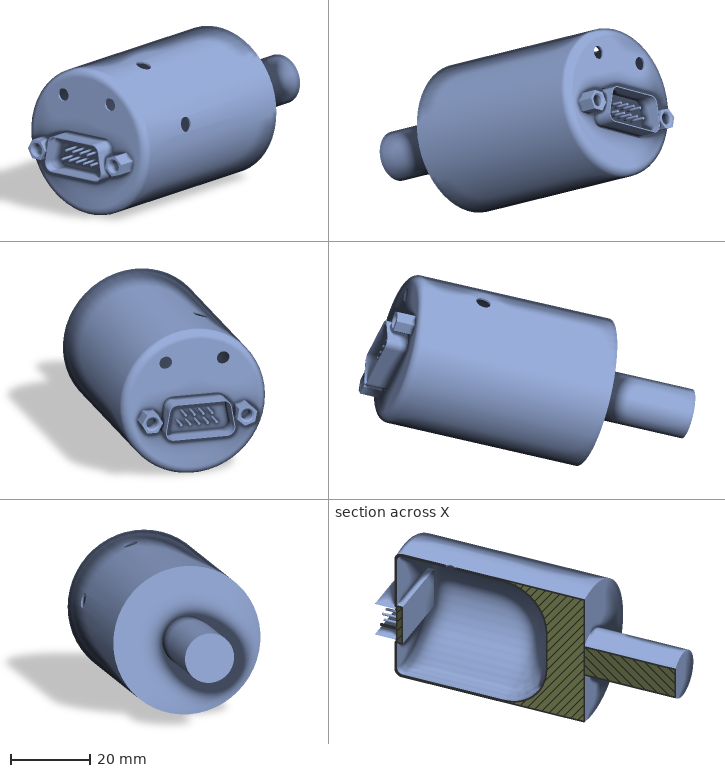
import cadquery as cq
import math


OVERALL_LENGTH = 83.0

HOUSING_DIAMETER = 38.1
HOUSING_LENGTH = 52.45
WALL = 0.5
FRONT_EDGE_RADIUS = 2.1
CAVITY_DIAMETER = HOUSING_DIAMETER - 2 * WALL
CAVITY_FRONT_RADIUS = FRONT_EDGE_RADIUS - WALL
CAVITY_LENGTH = 41.5
CAVITY_END_RADIUS = 12.0

WINDOW_DIAMETER = 3.3
WINDOW_X = 7.55
WINDOW_Z = 11.3

SIDE_HOLE_DIAMETER = 3.8
SIDE_HOLES = [(71.5, 15.35), (13.5, 16.9)]

POST_DIAMETER = 12.7
POST_LENGTH = 25.15

CONNECTOR_Z = -3.0
SHELL_PROJECTION = OVERALL_LENGTH - HOUSING_LENGTH - POST_LENGTH
SHELL_HEIGHT = 9.5
SHELL_MEAN_WIDTH = 17.4
SHELL_CORNER_RADIUS = 2.15
SHELL_THICKNESS = 0.25
SIDE_TAPER = 10.0

OPENING_END_GAP = 0.5
OPENING_SIDE_GAP = 0.1
OPENING_CORNER_RADIUS = 2.5

FLANGE_WIDTH = 29.05
FLANGE_HEIGHT = 11.1
FLANGE_THICKNESS = 1.7

PIN_DIAMETER = 0.7
PIN_PITCH = 2.3
PIN_ROW_SPACING = 2.5
PIN_TIP_Y = -4.0
PIN_ROWS = [(4, PIN_ROW_SPACING / 2), (5, -PIN_ROW_SPACING / 2)]

JACK_SPACING = 24.9
HEXAGON_SIDES = 6
JACK_ACROSS_FLATS = 4.8
JACK_PROJECTION = 4.7
JACK_SHANK_DIAMETER = 4.0
JACK_BORE_DIAMETER = 2.8
JACK_BORE_DEPTH = 3.7
JACK_BORE_CHAMFER = 0.4
DRILL_POINT_ANGLE = 118.0
JACKS = [(-1, 0.0), (1, 18.0)]


def section_at(y):
    """Workplane across the Y axis at y: local x is X, local y is Z, extruding goes toward -Y."""
    return cq.Workplane("XZ", origin=(0, y, 0))


def rod(diameter, y_front, y_back, x=0.0, z=0.0):
    """Round rod along Y between two Y positions."""
    return section_at(y_back).center(x, z).circle(diameter / 2).extrude(y_back - y_front)


def d_prism(mean_width, height, corner_radius, y_front, y_back):
    """Prism along Y with the rounded D outline of the connector, wider at the bottom."""
    lean = height / 2 * math.tan(math.radians(SIDE_TAPER))
    half_top = mean_width / 2 - lean
    half_bottom = mean_width / 2 + lean
    outline = [
        (-half_bottom, -height / 2),
        (half_bottom, -height / 2),
        (half_top, height / 2),
        (-half_top, height / 2),
    ]
    prism = section_at(y_back).center(0, CONNECTOR_Z).polyline(outline).close().extrude(y_back - y_front)
    return prism.edges("|Y").fillet(corner_radius)


def make_housing():
    """Hollow can with windows, side holes, and openings for the connector shell and jack posts."""
    body = rod(HOUSING_DIAMETER, 0, HOUSING_LENGTH).faces("<Y").edges().fillet(FRONT_EDGE_RADIUS)

    cavity = rod(CAVITY_DIAMETER, WALL, WALL + CAVITY_LENGTH)
    cavity = cavity.faces(">Y").edges().fillet(CAVITY_END_RADIUS)
    cavity = cavity.faces("<Y").edges().fillet(CAVITY_FRONT_RADIUS)
    body = body.cut(cavity)

    for x in (-WINDOW_X, WINDOW_X):
        body = body.cut(rod(WINDOW_DIAMETER, 0, WALL, x, WINDOW_Z))

    for angle, y in SIDE_HOLES:
        outward = (math.cos(math.radians(angle)), 0, math.sin(math.radians(angle)))
        axis = cq.Workplane(cq.Plane(origin=(0, y, 0), xDir=(0, 1, 0), normal=outward))
        body = body.cut(axis.circle(SIDE_HOLE_DIAMETER / 2).extrude(HOUSING_DIAMETER / 2))

    opening = d_prism(
        SHELL_MEAN_WIDTH + 2 * OPENING_SIDE_GAP,
        SHELL_HEIGHT + 2 * OPENING_END_GAP,
        OPENING_CORNER_RADIUS,
        0,
        WALL,
    )
    body = body.cut(opening)

    for side, _ in JACKS:
        body = body.cut(rod(JACK_SHANK_DIAMETER, 0, WALL, side * JACK_SPACING / 2, CONNECTOR_Z))
    return body


def make_post():
    """Plain round post standing on the rear face of the housing."""
    return rod(POST_DIAMETER, HOUSING_LENGTH, HOUSING_LENGTH + POST_LENGTH)


def make_jack(side, turn):
    """Hexagonal jack post with a drilled bore, on a round shank that passes through the panel."""
    x = side * JACK_SPACING / 2
    corner_diameter = JACK_ACROSS_FLATS / math.cos(math.pi / HEXAGON_SIDES)
    hexagon = cq.Workplane("XZ").polygon(HEXAGON_SIDES, corner_diameter).extrude(JACK_PROJECTION)
    hexagon = hexagon.rotate((0, 0, 0), (0, 1, 0), -turn)
    jack = hexagon.union(rod(JACK_SHANK_DIAMETER, 0, WALL))

    bore_radius = JACK_BORE_DIAMETER / 2
    mouth_y = -JACK_PROJECTION
    bore_end_y = mouth_y + JACK_BORE_DEPTH
    tip_length = bore_radius / math.tan(math.radians(DRILL_POINT_ANGLE / 2))
    bore_profile = [
        (0, mouth_y),
        (bore_radius + JACK_BORE_CHAMFER, mouth_y),
        (bore_radius, mouth_y + JACK_BORE_CHAMFER),
        (bore_radius, bore_end_y),
        (0, bore_end_y + tip_length),
    ]
    bore = cq.Workplane("XY").polyline(bore_profile).close().revolve(axisStart=(0, 0), axisEnd=(0, 1))
    return jack.cut(bore).translate((x, 0, CONNECTOR_Z))


def make_connector():
    """Flange carrying the D-shaped shell, the contact pins and both jack posts."""
    flange_back = WALL + FLANGE_THICKNESS
    flange = section_at(flange_back).center(0, CONNECTOR_Z).rect(FLANGE_WIDTH, FLANGE_HEIGHT)
    connector = flange.extrude(FLANGE_THICKNESS)

    shell = d_prism(SHELL_MEAN_WIDTH, SHELL_HEIGHT, SHELL_CORNER_RADIUS, -SHELL_PROJECTION, WALL)
    shell_inside = d_prism(
        SHELL_MEAN_WIDTH - 2 * SHELL_THICKNESS,
        SHELL_HEIGHT - 2 * SHELL_THICKNESS,
        SHELL_CORNER_RADIUS - SHELL_THICKNESS,
        -SHELL_PROJECTION,
        WALL,
    )
    connector = connector.union(shell.cut(shell_inside))

    for count, row_z in PIN_ROWS:
        for index in range(count):
            pin_x = (index - (count - 1) / 2) * PIN_PITCH
            connector = connector.union(rod(PIN_DIAMETER, PIN_TIP_Y, WALL, pin_x, CONNECTOR_Z + row_z))

    for side, turn in JACKS:
        connector = connector.union(make_jack(side, turn))
    return connector


housing = make_housing()
post = make_post()
connector = make_connector()

result = cq.Compound.makeCompound([body.solids().val() for body in (housing, post, connector)])